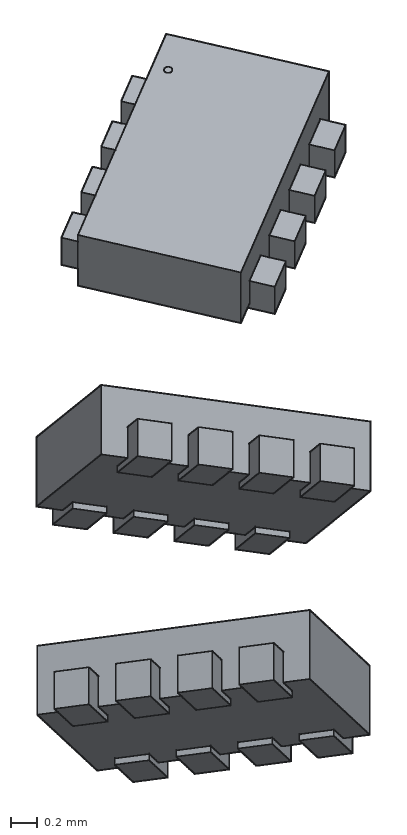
import cadquery as cq

overall_width = 1.7
overall_height = 0.61

housing_width = 1.297
housing_length = 2.21
standoff = 0.05
housing_height = overall_height - standoff

leads_per_side = 4
lead_pitch = 0.5
lead_length = 0.402
lead_width = 0.28
lead_height = 0.3
lead_x = (overall_width - lead_length) / 2
first_lead_y = lead_pitch * (leads_per_side - 1) / 2

marker_diameter = 0.065
marker_depth = 0.01
marker_x = -0.52
marker_y = first_lead_y


def make_lead(side, index):
    """Lead block; side is -1 or +1 in X, index counts from the +Y end."""
    lead_y = first_lead_y - index * lead_pitch
    return (
        cq.Workplane("XY")
        .box(lead_length, lead_width, lead_height, centered=(True, True, False))
        .translate((side * lead_x, lead_y, 0))
    )


def make_marker():
    """Disc whose upper face is level with the top of the housing."""
    return (
        cq.Workplane("XY", origin=(marker_x, marker_y, overall_height - marker_depth))
        .circle(marker_diameter / 2)
        .extrude(marker_depth)
    )


def make_housing(inserts):
    """Block with a matching recess for every inserted body."""
    housing = (
        cq.Workplane("XY", origin=(0, 0, standoff))
        .box(housing_width, housing_length, housing_height, centered=(True, True, False))
    )
    for insert in inserts:
        housing = housing.cut(insert)
    return housing


leads = [make_lead(side, index) for side in (-1, 1) for index in range(leads_per_side)]
marker = make_marker()
housing = make_housing([*leads, marker])

result = cq.Compound.makeCompound([housing.val(), marker.val(), *[lead.val() for lead in leads]])